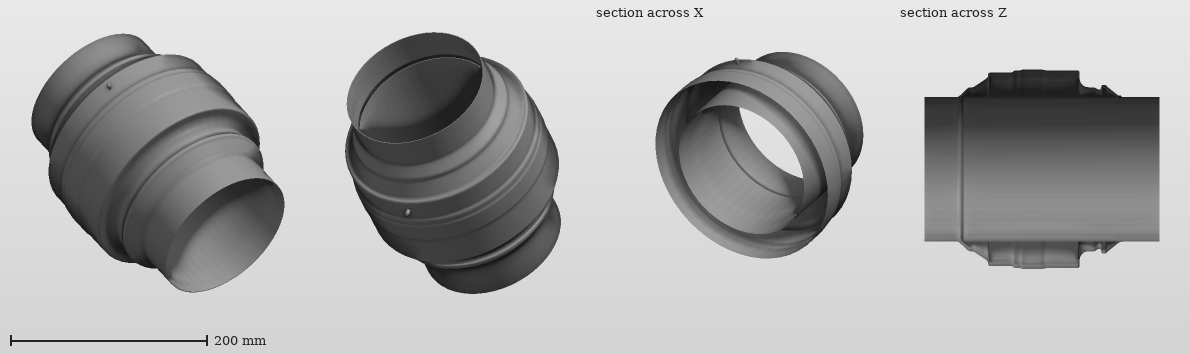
import cadquery as cq
import math

duct_length = 240.0
left_end = -duct_length / 2
right_end = duct_length / 2
wall = 0.7
SHARP = 0
spigot_radius = 74.0

collar_radius = 83.8
drum_radius = 101.0
band_radius = 102.0
shoulder_radius = 99.0
neck_radius = 81.4
cone_top_radius = 93.8

spigot_corner = -85.2
ridge_start = -74.6
ridge_end = -70.0
shoulder_face = -55.0
drum_step = (-30.5, -27.5)
band_rise = (-21.8, -19.7)
band_fall = (0.0, 3.0)
drum_face = 38.5
neck_taper = (53.3, 57.5)
joint = 59.5

spigot_bend = 4.3
ridge_start_bend = 4.8
ridge_end_bend = 3.8
cone_top_bend = 4.5
drum_edge_bend = 2.5
drum_step_bends = (3.4, 4.5)
band_rise_bends = (3.8, 5.5)
band_fall_bends = (7.2, 10.3)
collar_bend = 9.0
neck_bend = 2.0

rim_radius = 86.2
rim_start = 61.2
rim_end = 65.0
cone_start = 67.0
cone_start_radius = 84.0
cone_end = 79.7
rim_start_bend = 1.5
rim_end_bend = 1.0
cone_end_bend = 8.6
tube_start = -80.0

nipple_x = -43.2
nipple_radius = 2.2
nipple_tip = 105.5
nipple_chamfer = 1.5
nipple_angles = (17.5, 200.0)


def round_corner(before, corner, after, radius):
    """Start, middle and end of the arc that rounds one corner of an outline."""
    to_before = (cq.Vector(*before) - cq.Vector(*corner)).normalized()
    to_after = (cq.Vector(*after) - cq.Vector(*corner)).normalized()
    half_angle = to_before.getAngle(to_after) / 2
    setback = radius / math.tan(half_angle)
    depth = radius / math.sin(half_angle) - radius
    vertex = cq.Vector(*corner)
    bisector = (to_before + to_after).normalized()
    return vertex + to_before * setback, vertex + bisector * depth, vertex + to_after * setback


def turned_solid(start, corners, end):
    """Solid of revolution about X; each corner is (x, radius, rounding)."""
    points = [start] + [(x, r) for x, r, _ in corners] + [end]
    outline = cq.Workplane("XY").moveTo(start[0], 0).lineTo(*start)
    for i, (x, r, rounding) in enumerate(corners, start=1):
        if rounding == SHARP:
            outline = outline.lineTo(x, r)
            continue
        arc_start, arc_middle, arc_end = round_corner(points[i - 1], points[i], points[i + 1], rounding)
        outline = outline.lineTo(arc_start.x, arc_start.y)
        outline = outline.threePointArc((arc_middle.x, arc_middle.y), (arc_end.x, arc_end.y))
    outline = outline.lineTo(*end).lineTo(end[0], 0).close()
    return outline.revolve(360, (0, 0, 0), (1, 0, 0))


def cylinder_along_x(start, end, radius):
    return cq.Workplane("YZ", origin=(start, 0, 0)).circle(radius).extrude(end - start)


def make_nipple(angle):
    """Radial stub with a chamfered tip, rooted in the wall of the drum shoulder."""
    base = shoulder_radius - wall / 2
    stub = cq.Workplane("XY", origin=(nipple_x, 0, base)).circle(nipple_radius).extrude(nipple_tip - base)
    stub = stub.faces(">Z").chamfer(nipple_chamfer)
    return stub.rotate((0, 0, 0), (1, 0, 0), angle)


def make_housing():
    corners = [
        (spigot_corner, spigot_radius, spigot_bend),
        (ridge_start, collar_radius, ridge_start_bend),
        (ridge_end, collar_radius, ridge_end_bend),
        (shoulder_face, cone_top_radius, cone_top_bend),
        (shoulder_face, shoulder_radius, drum_edge_bend),
        (drum_step[0], shoulder_radius, drum_step_bends[0]),
        (drum_step[1], drum_radius, drum_step_bends[1]),
        (band_rise[0], drum_radius, band_rise_bends[0]),
        (band_rise[1], band_radius, band_rise_bends[1]),
        (band_fall[0], band_radius, band_fall_bends[0]),
        (band_fall[1], drum_radius, band_fall_bends[1]),
        (drum_face, drum_radius, drum_edge_bend),
        (drum_face, collar_radius, collar_bend),
        (neck_taper[0], collar_radius, SHARP),
        (neck_taper[1], neck_radius, neck_bend),
    ]
    body = turned_solid((left_end, spigot_radius), corners, (joint, neck_radius))
    housing = body.faces("<X or >X").shell(-wall)
    for angle in nipple_angles:
        housing = housing.union(make_nipple(angle))
    return housing


def make_end_piece():
    corners = [
        (rim_start, rim_radius, rim_start_bend),
        (rim_end, rim_radius, rim_end_bend),
        (cone_start, cone_start_radius, SHARP),
        (cone_end, spigot_radius, cone_end_bend),
    ]
    body = turned_solid((joint, neck_radius), corners, (right_end, spigot_radius))
    flange = body.faces(">X").shell(-wall)
    flange = flange.cut(cylinder_along_x(joint, rim_start, neck_radius - wall))
    tube = cylinder_along_x(tube_start, right_end, spigot_radius)
    tube = tube.cut(cylinder_along_x(tube_start, right_end, spigot_radius - wall))
    return flange.union(tube)


housing = make_housing()
end_piece = make_end_piece()
result = cq.Compound.makeCompound([housing.solids().val(), end_piece.solids().val()])